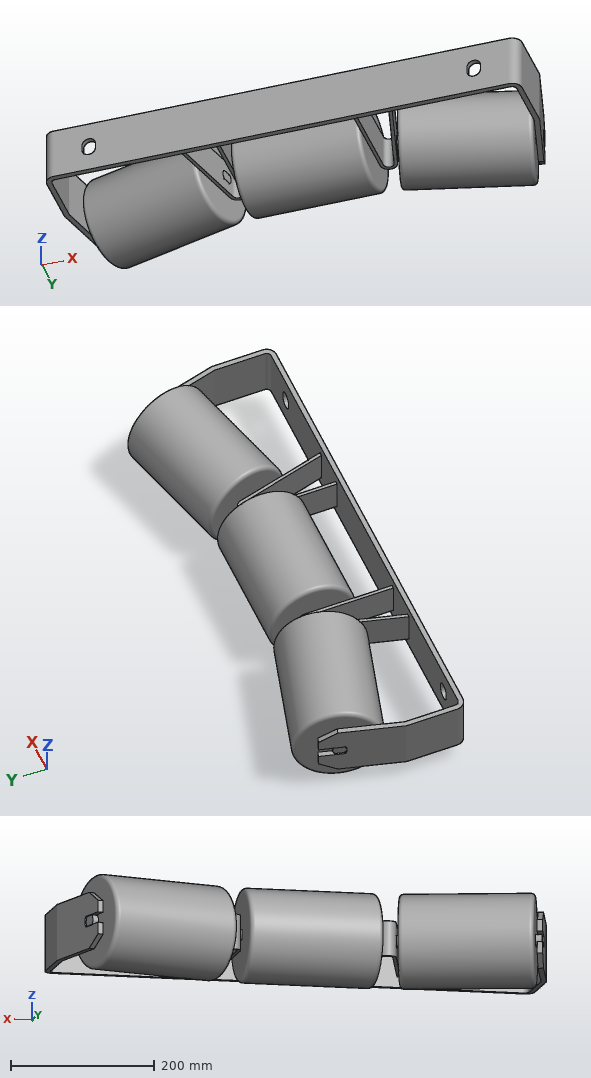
import cadquery as cq
import math

overall_length = 700.0
strap_height = 80.0
strap_thickness = 8.0
corner_radius = 15.0
arm_bend_y = 92.0
arm_bend_radius = 10.5
arm_tip_y = 211.5
tip_taper_length = 27.0
tip_taper_depth = 16.0
tilt = 15.0

mount_hole_x = 283.5
mount_hole_width = 19.5
mount_hole_height = 27.0

bracket_height = 50.0
bracket_thickness = 5.0
bracket_face_x = 99.0
bracket_top_y = 152.5
bracket_bend_radius = 12.5

roller_diameter = 133.0
roller_length = 190.5
roller_edge_radius = 6.0
middle_roller_y = 126.0
end_roller_x = 223.0
end_roller_y = 155.0

shaft_diameter = 20.0
shaft_flat_width = 15.0
shaft_recess = 2.0

half_length = overall_length / 2
sin_tilt = math.sin(math.radians(tilt))
cos_tilt = math.cos(math.radians(tilt))
tan_half_tilt = math.tan(math.radians(tilt / 2))
sides = (-1, 1)

arm_outer_distance = (half_length - end_roller_x) * cos_tilt + (arm_bend_y - end_roller_y) * sin_tilt
shaft_outer_distance = arm_outer_distance - shaft_recess

fold_x = bracket_face_x + bracket_bend_radius
fold_y = bracket_top_y - bracket_bend_radius
fold_inner_radius = bracket_bend_radius - bracket_thickness
leg_inner_distance = (
    (end_roller_x - fold_x) * cos_tilt + (end_roller_y - fold_y) * sin_tilt - fold_inner_radius
)


def place_on_end_roller(shape, side):
    """Move a shape from the origin, axis along X, to the end roller on one side."""
    if side < 0:
        shape = shape.mirror("YZ")
    return shape.rotate((0, 0, 0), (0, 0, 1), side * tilt).translate((side * end_roller_x, end_roller_y, 0))


def mirror_pair(shape):
    return shape.union(shape.mirror("YZ"))


def strap_half():
    inner_x = half_length - strap_thickness
    inner_bend_y = arm_bend_y - strap_thickness * tan_half_tilt
    tip_outer_x = half_length - (arm_tip_y - arm_bend_y) * sin_tilt / cos_tilt
    tip_inner = (tip_outer_x - strap_thickness * cos_tilt, arm_tip_y - strap_thickness * sin_tilt)
    half = (
        cq.Workplane("XY")
        .polyline(
            [
                (0, 0),
                (half_length, 0),
                (half_length, arm_bend_y),
                (tip_outer_x, arm_tip_y),
                tip_inner,
                (inner_x, inner_bend_y),
                (inner_x, strap_thickness),
                (0, strap_thickness),
            ]
        )
        .close()
        .extrude(strap_height / 2, both=True)
    )
    fillets = [
        ((half_length, 0), corner_radius),
        ((inner_x, strap_thickness), corner_radius - strap_thickness),
        ((half_length, arm_bend_y), arm_bend_radius),
        ((inner_x, inner_bend_y), arm_bend_radius - strap_thickness),
    ]
    for (x, y), radius in fillets:
        half = half.edges(cq.NearestToPointSelector((x, y, 0))).fillet(radius)
    return half


def tip_taper_cutter():
    """Wedges that narrow the +X arm towards its tip, on both Z sides."""
    tip_reach = (arm_tip_y - arm_bend_y) / cos_tilt
    half_height = strap_height / 2
    wedge = (
        cq.Workplane("YZ")
        .polyline(
            [
                (tip_reach - tip_taper_length, half_height),
                (tip_reach, half_height - tip_taper_depth),
                (tip_reach, half_height),
            ]
        )
        .close()
        .extrude(strap_thickness, both=True)
    )
    wedges = wedge.union(wedge.mirror("XY"))
    return wedges.rotate((0, 0, 0), (0, 0, 1), tilt).translate((half_length, arm_bend_y, 0))


def mount_holes():
    return (
        cq.Workplane("XZ")
        .pushPoints([(side * mount_hole_x, 0) for side in sides])
        .slot2D(mount_hole_height, mount_hole_width, 90)
        .extrude(-strap_thickness)
    )


def bracket():
    """The +X bracket: an upright leg, a round fold and a leg leaning outwards."""

    def fold_end(radius):
        return fold_x + radius * cos_tilt, fold_y + radius * sin_tilt

    def leg_foot(radius):
        end_x, end_y = fold_end(radius)
        return end_x + (end_y - strap_thickness) * sin_tilt / cos_tilt, strap_thickness

    def fold_middle(radius):
        return fold_x, fold_y + radius

    return (
        cq.Workplane("XY")
        .moveTo(bracket_face_x, strap_thickness)
        .lineTo(bracket_face_x, fold_y)
        .threePointArc(fold_middle(bracket_bend_radius), fold_end(bracket_bend_radius))
        .lineTo(*leg_foot(bracket_bend_radius))
        .lineTo(*leg_foot(fold_inner_radius))
        .lineTo(*fold_end(fold_inner_radius))
        .threePointArc(fold_middle(fold_inner_radius), (fold_x - fold_inner_radius, fold_y))
        .lineTo(bracket_face_x + bracket_thickness, strap_thickness)
        .close()
        .extrude(bracket_height / 2, both=True)
    )


def roller_drum():
    return (
        cq.Workplane("YZ", origin=(-roller_length / 2, 0, 0))
        .circle(roller_diameter / 2)
        .extrude(roller_length)
        .edges("%CIRCLE")
        .fillet(roller_edge_radius)
    )


def flatted_shaft(start_x, end_x):
    """Round shaft along X with flats facing +Z and -Z."""
    length = end_x - start_x
    rod = cq.Workplane("YZ", origin=(start_x, 0, 0)).circle(shaft_diameter / 2).extrude(length)
    flats = cq.Workplane("YZ", origin=(start_x, 0, 0)).rect(shaft_diameter, shaft_flat_width).extrude(length)
    return rod.intersect(flats)


def end_shaft():
    return flatted_shaft(-leg_inner_distance, shaft_outer_distance)


def end_roller(side):
    return place_on_end_roller(roller_drum().union(end_shaft()), side)


def middle_roller():
    """Drum on a shaft that is fixed to the upright legs of both brackets."""
    shaft = flatted_shaft(-bracket_face_x, bracket_face_x)
    return roller_drum().union(shaft).translate((0, middle_roller_y, 0))


def shaft_seat(side):
    """Hole through the leaning bracket leg and slot through the arm, open at the arm's tip."""
    slot_length = arm_tip_y - arm_bend_y
    slot = (
        cq.Workplane("XY")
        .box(2 * strap_thickness, slot_length, shaft_flat_width, centered=(True, False, True))
        .translate((arm_outer_distance, 0, 0))
    )
    round_end = flatted_shaft(-leg_inner_distance, arm_outer_distance)
    return place_on_end_roller(round_end.union(slot), side)


def frame():
    """Strap, brackets and middle roller, joined into one solid."""
    body = mirror_pair(strap_half().cut(tip_taper_cutter()).union(bracket()))
    body = body.cut(mount_holes()).union(middle_roller())
    for side in sides:
        body = body.cut(shaft_seat(side))
    return body


bodies = [frame(), *[end_roller(side) for side in sides]]
result = cq.Compound.makeCompound([solid for body in bodies for solid in body.solids().vals()])